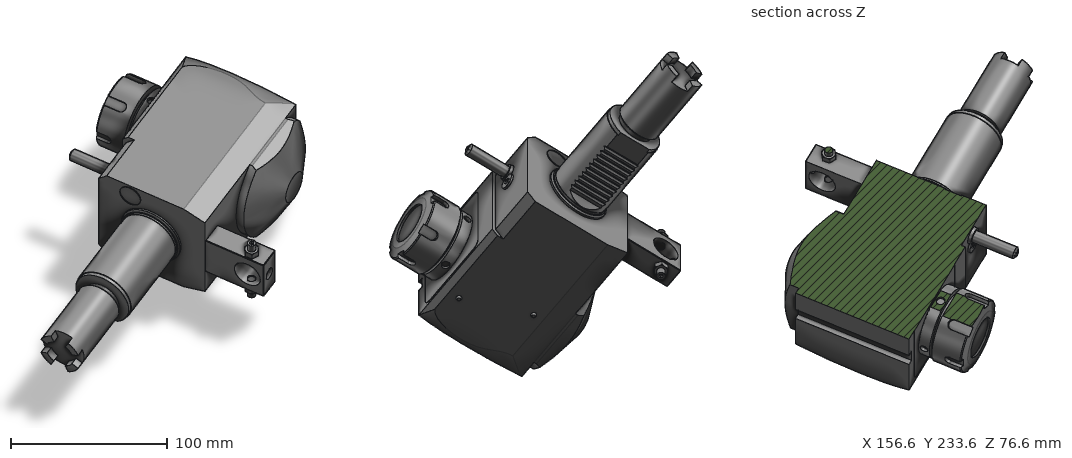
import cadquery as cq
import math


overall_length = 233.55
body_length = 116.0
body_half_height = 37.5
body_left = -41.7
body_right = 39.3
body_chamfer = 4.1
front_step_length = 35.2
front_step_left = -39.1
front_step_chamfer = 6.0
taper_start_x = 23.7
taper_end_z = 33.1
back_corner_z = 33.3
back_left_pull = (-24.0, 38.3)
back_right_pull = (10.0, 37.6)
relief_depth = 11.8
relief_left_x = -37.5
relief_left_pull = (-24.0, 42.4)
relief_right_pull = (0.0, 38.2)
back_slot_width = 10.0
back_slot_depth = 3.7
plug_radius = 7.6
plug_x = -15.9
plug_z = 27.6
plug_recess = 0.6

spindle_y = 80.0
plate_raise = 0.2
plate_y_min = 50.8
plate_y_max = 108.6
plate_height = 63.0
plate_corner = 5.0
plate_face_x = body_left - plate_raise
neck_radius = 22.0
collar_radius = 24.0
collar_right_x = -42.5
collar_left_x = -50.2
collar_hole_radius = 2.7
collar_hole_depth = 2.5
collar_hole_count = 4
groove_radius = 20.5
nut_right_x = -52.5
nut_radius = 25.0
nut_rim_x = -72.2
nut_cone_x = -73.0
nut_cone_radius = 24.4
nut_face_x = -74.7
nut_face_radius = 18.35
collet_bore_radius = 13.85
collet_recess = 1.5
nut_slot_count = 6
nut_long_slots = (4, 5)
first_slot_angle = 90.0
nut_slot_width = 6.6
nut_slot_end_x = -61.7
nut_long_slot_end_x = -57.9
nut_slot_floor_radius = 22.3

flange_radius = 21.7
flange_edge_y = -1.3
flange_foot_radius = 20.6
flange_foot_y = -2.3
shank_relief_radius = 19.7
shank_start_y = -4.0
shank_radius = 20.0
shank_chamfer_y = -60.5
shank_end_y = -63.0
shank_end_radius = 19.5
shank_neck_radius = 12.3
coupling_start_y = -66.8
coupling_radius = 15.0
coupling_chamfer = 0.8
coupling_face_y = -112.2
coupling_end_y = body_length - overall_length
rack_flat_z = -16.0
rack_slope_y = -4.6
rack_tooth_count = 10
rack_pitch = 4.0
rack_first_y = -12.0
rack_notch_depth = 1.1
rack_notch_half_width = 1.3
lug_count = 4
lug_inner_radius = 10.0
slot_half_angle = 24.5

dome_radius = 40.2
dome_base_x = 44.9
dome_tip_radius = 10.7
dome_tip_x = 58.8
dome_back_y = 111.7
dome_flat_x = 41.2
dome_flat_half_height = 33.1
dome_flat_slope = 0.28

bar_right = 81.9
bar_half_height = 15.0
bar_y_min = 1.0
bar_y_max = 16.0
bar_edge_chamfer = 0.4
bar_hole_radius = 9.5
bar_end_hole_radius = 4.0
screw_x = 70.0
screw_y = 6.4
screw_radius = 2.7
screw_top_z = 25.0
screw_tip_recess = 1.0
screw_socket_across_corners = 2.9
screw_socket_depth = 2.0
screw_nut_height = 4.3
screw_nut_across_corners = 9.8
screw_nut_chamfer = 0.6
screw_nut_turn = 4.0

pin_y = 21.0
pin_z = 16.0
pin_radius = 4.0
pin_left_x = -71.6
pin_chamfer_length = 2.0
pin_chamfer_depth = 1.4
pin_foot_radius = 5.8
pin_foot_tip_radius = 5.3
pin_foot_height = 2.2
socket_across_corners = 4.6
socket_depth = 2.0
head_z = 5.8
head_radius = 5.3
head_height = 1.4
stop_positions = [(-29.9, 88.3), (16.4, 71.1)]
stop_radius = 1.9
stop_tip_radius = 1.1
stop_height = 1.6

overlap = 1.0
cut_margin = 10.0


def box(x0, x1, y0, y1, z0, z1):
    return cq.Workplane("XY").box(x1 - x0, y1 - y0, z1 - z0, centered=False).translate((x0, y0, z0))


def cone(x, y, z, direction, base_radius, tip_radius, height):
    """Frustum on a base point, growing along a direction."""
    solid = cq.Solid.makeCone(base_radius, tip_radius, height, cq.Vector(x, y, z), cq.Vector(*direction))
    return cq.Workplane(obj=solid)


def cylinder(x, y, z, direction, radius, height):
    solid = cq.Solid.makeCylinder(radius, height, cq.Vector(x, y, z), cq.Vector(*direction))
    return cq.Workplane(obj=solid)


def block_profile(left_x, chamfer):
    top = body_half_height
    return [
        (left_x + chamfer, top), (taper_start_x, top),
        (body_right, taper_end_z), (body_right, -taper_end_z),
        (taper_start_x, -top), (left_x + chamfer, -top),
        (left_x, chamfer - top), (left_x, top - chamfer),
    ]


def block(left_x, chamfer, y0, y1):
    profile = cq.Workplane("XZ", origin=(0, y0, 0)).polyline(block_profile(left_x, chamfer)).close()
    return profile.extrude(y0 - y1)


def relief_section(y, crown_points, outer_z):
    """Closed section with a Bezier crown below and a straight top at outer_z."""
    crown = [cq.Vector(x, y, z) for x, z in crown_points]
    corners = [
        crown[-1], cq.Vector(crown[-1].x, y, outer_z),
        cq.Vector(crown[0].x, y, outer_z), crown[0],
    ]
    sides = [cq.Edge.makeLine(start, end) for start, end in zip(corners, corners[1:])]
    return cq.Wire.assembleEdges([cq.Edge.makeBezier(crown)] + sides)


def back_relief():
    """Crowned sloping face that trims the top of the block at its back end."""
    outer_z = body_half_height + cut_margin
    back_points = [(body_left, back_corner_z), back_left_pull, back_right_pull, (body_right, back_corner_z)]
    front_points = [
        (relief_left_x, body_half_height), relief_left_pull, relief_right_pull,
        (taper_start_x, body_half_height),
    ]
    back = relief_section(body_length, back_points, outer_z)
    front = relief_section(body_length - relief_depth, front_points, outer_z)
    return cq.Workplane(obj=cq.Solid.makeLoft([back, front], True))


def make_body():
    body = block(front_step_left, front_step_chamfer, 0, body_length)
    body = body.union(block(body_left, body_chamfer, front_step_length, body_length))
    relief = back_relief()
    body = body.cut(relief).cut(relief.mirror("XY"))
    half_slot = back_slot_width / 2
    body = body.cut(box(body_left - overlap, body_right + overlap, body_length - back_slot_depth,
                        body_length + overlap, -half_slot, half_slot))
    body = body.cut(cylinder(plug_x, 0, plug_z, (0, 1, 0), plug_radius, plug_recess))
    plate = box(plate_face_x, body_left + overlap, plate_y_min, plate_y_max, -plate_height / 2, plate_height / 2)
    return body.union(plate.edges("|X").fillet(plate_corner))


def nut_slot(end_x):
    """Round-ended spanner slot cut into the top of the nut."""
    height = nut_radius - nut_slot_floor_radius + overlap
    arc_x = end_x - nut_slot_width / 2
    half_width = nut_slot_width / 2
    open_end = box(nut_face_x - overlap, arc_x, spindle_y - half_width, spindle_y + half_width,
                   nut_slot_floor_radius, nut_slot_floor_radius + height)
    return open_end.union(cylinder(arc_x, spindle_y, nut_slot_floor_radius, (0, 0, 1), half_width, height))


def about_spindle(solid, angle):
    return solid.rotate((0, spindle_y, 0), (1, spindle_y, 0), angle)


def make_spindle():
    profile = [
        (body_left + overlap, 0), (body_left + overlap, neck_radius), (collar_right_x, neck_radius),
        (collar_right_x, collar_radius), (collar_left_x, collar_radius),
        (collar_left_x, groove_radius), (nut_right_x, groove_radius),
        (nut_right_x, nut_radius), (nut_rim_x, nut_radius), (nut_cone_x, nut_cone_radius),
        (nut_face_x, nut_face_radius), (nut_face_x, collet_bore_radius),
        (nut_face_x + collet_recess, collet_bore_radius), (nut_face_x + collet_recess, 0),
    ]
    spindle = cq.Workplane("XY").polyline(profile).close().revolve(360, (0, 0, 0), (1, 0, 0))
    spindle = spindle.translate((0, spindle_y, 0))
    for i in range(nut_slot_count):
        angle = first_slot_angle + i * 360 / nut_slot_count
        slot = nut_slot(nut_long_slot_end_x if i in nut_long_slots else nut_slot_end_x)
        spindle = spindle.cut(about_spindle(slot, angle))
    hole_x = (collar_left_x + collar_right_x) / 2
    hole = cylinder(hole_x, spindle_y, collar_radius - collar_hole_depth, (0, 0, 1),
                    collar_hole_radius, collar_hole_depth + overlap)
    for i in range(collar_hole_count):
        spindle = spindle.cut(about_spindle(hole, i * 360 / collar_hole_count))
    return spindle


def rack_cutter():
    """Flat with V notches along the underside of the shank."""
    deep_z = -shank_radius - cut_margin
    flat_start_y = rack_slope_y - (rack_flat_z + shank_radius)
    flat = [
        (rack_slope_y, -shank_radius), (flat_start_y, rack_flat_z), (shank_end_y, rack_flat_z),
        (shank_end_y, deep_z), (rack_slope_y, deep_z),
    ]
    cutter = cq.Workplane("YZ").polyline(flat).close().extrude(shank_radius, both=True)
    for i in range(rack_tooth_count):
        y = rack_first_y - i * rack_pitch
        notch = [
            (y - rack_notch_half_width, rack_flat_z), (y, rack_flat_z + rack_notch_depth),
            (y + rack_notch_half_width, rack_flat_z), (y, rack_flat_z - overlap),
        ]
        cutter = cutter.union(cq.Workplane("YZ").polyline(notch).close().extrude(shank_radius, both=True))
    return cutter


def polar(radius, angle):
    return radius * math.cos(math.radians(angle)), radius * math.sin(math.radians(angle))


def coupling_slots():
    """Central recess and four flared slots that leave the drive lugs standing."""
    depth = coupling_face_y - coupling_end_y + overlap
    slots = cylinder(0, coupling_face_y, 0, (0, -1, 0), lug_inner_radius, depth)
    outer_radius = coupling_radius + cut_margin
    for i in range(lug_count):
        middle = i * 360 / lug_count
        corners = [(0, 0)]
        for angle in (middle - slot_half_angle, middle + slot_half_angle):
            corners.append(polar(outer_radius, angle))
        wedge = cq.Workplane("XZ", origin=(0, coupling_face_y, 0)).polyline(corners).close().extrude(depth)
        slots = slots.union(wedge)
    return slots


def make_shank():
    profile = [
        (0, overlap), (flange_radius, overlap), (flange_radius, flange_edge_y),
        (flange_foot_radius, flange_foot_y), (shank_relief_radius, flange_foot_y),
        (shank_relief_radius, shank_start_y), (shank_radius, shank_start_y),
        (shank_radius, shank_chamfer_y), (shank_end_radius, shank_chamfer_y), (shank_end_radius, shank_end_y),
        (shank_neck_radius, shank_end_y), (shank_neck_radius, coupling_start_y),
        (coupling_radius - coupling_chamfer, coupling_start_y),
        (coupling_radius, coupling_start_y - coupling_chamfer),
        (coupling_radius, coupling_end_y), (0, coupling_end_y),
    ]
    shank = cq.Workplane("XY").polyline(profile).close().revolve(360, (0, 0, 0), (0, 1, 0))
    return shank.cut(rack_cutter()).cut(coupling_slots())


def make_dome():
    profile = [
        (body_right - overlap, 0), (body_right - overlap, dome_radius), (dome_base_x, dome_radius),
        (dome_tip_x, dome_tip_radius), (dome_tip_x, 0),
    ]
    dome = cq.Workplane("XY").polyline(profile).close().revolve(360, (0, 0, 0), (1, 0, 0))
    dome = dome.translate((0, spindle_y, 0))
    tip_z = dome_flat_half_height - dome_flat_slope * (dome_tip_x - dome_flat_x)
    envelope = [
        (body_right - overlap, dome_flat_half_height), (dome_flat_x, dome_flat_half_height), (dome_tip_x, tip_z),
        (dome_tip_x, -tip_z), (dome_flat_x, -dome_flat_half_height),
        (body_right - overlap, -dome_flat_half_height),
    ]
    limits = cq.Workplane("XZ", origin=(0, dome_back_y, 0)).polyline(envelope).close().extrude(2 * dome_radius)
    return dome.intersect(limits)


def hexagon(across_corners, height, z):
    return cq.Workplane("XY", origin=(0, 0, z)).polygon(6, across_corners).extrude(height)


def set_screw():
    """Upper set screw with its lock nut, standing on the Z axis."""
    screw_bottom = bar_half_height - overlap
    screw = cylinder(0, 0, screw_bottom, (0, 0, 1), screw_radius, screw_top_z - screw_bottom)
    nut = hexagon(screw_nut_across_corners, screw_nut_height + overlap, screw_bottom)
    rounding = cylinder(0, 0, screw_bottom, (0, 0, 1), screw_nut_across_corners / 2, screw_nut_height + overlap)
    nut = nut.intersect(rounding.faces(">Z").chamfer(screw_nut_chamfer))
    screw = screw.union(nut.rotate((0, 0, 0), (0, 0, 1), screw_nut_turn))
    socket = hexagon(screw_socket_across_corners, screw_socket_depth, screw_top_z - screw_socket_depth)
    return screw.cut(socket)


def make_clamp_bar():
    bar = box(body_right - overlap, bar_right, bar_y_min, bar_y_max, -bar_half_height, bar_half_height)
    bar = bar.edges("(>X and (|Y or |Z)) or (<Y and |X)").chamfer(bar_edge_chamfer)
    bar = bar.cut(cylinder(screw_x, bar_y_min - overlap, 0, (0, 1, 0), bar_hole_radius,
                           bar_y_max - bar_y_min + 2 * overlap))
    bar_mid_y = (bar_y_min + bar_y_max) / 2
    bar = bar.cut(cylinder(screw_x, bar_mid_y, 0, (1, 0, 0), bar_end_hole_radius, bar_right - screw_x + overlap))
    half_tip_hole = bar_hole_radius + screw_tip_recess
    bar = bar.cut(cylinder(screw_x, screw_y, -half_tip_hole, (0, 0, 1), screw_radius, 2 * half_tip_hole))
    screw = set_screw().translate((screw_x, screw_y, 0))
    return bar.union(screw).union(screw.mirror("XY"))


def hex_socket(x, z):
    return cq.Workplane("YZ", origin=(x, pin_y, z)).polygon(6, socket_across_corners).extrude(socket_depth)


def add_pin_and_head(body):
    base_x = front_step_left
    outward = (-1, 0, 0)
    pin = cylinder(base_x + overlap, pin_y, pin_z, outward, pin_radius, base_x + overlap - pin_left_x)
    pin = pin.faces("<X").chamfer(pin_chamfer_depth, pin_chamfer_length)
    foot = cone(base_x, pin_y, pin_z, outward, pin_foot_radius, pin_foot_tip_radius, pin_foot_height)
    head = cylinder(base_x, pin_y, head_z, outward, head_radius, head_height)
    body = body.union(head).union(foot).union(pin)
    return body.cut(hex_socket(pin_left_x, pin_z)).cut(hex_socket(base_x - head_height, head_z))


def add_stops(body):
    for x, y in stop_positions:
        body = body.union(cone(x, y, -body_half_height, (0, 0, -1), stop_radius, stop_tip_radius, stop_height))
    return body


result = make_body()
for piece in (make_spindle(), make_shank(), make_dome(), make_clamp_bar()):
    result = result.union(piece)
result = add_pin_and_head(result)
result = add_stops(result)